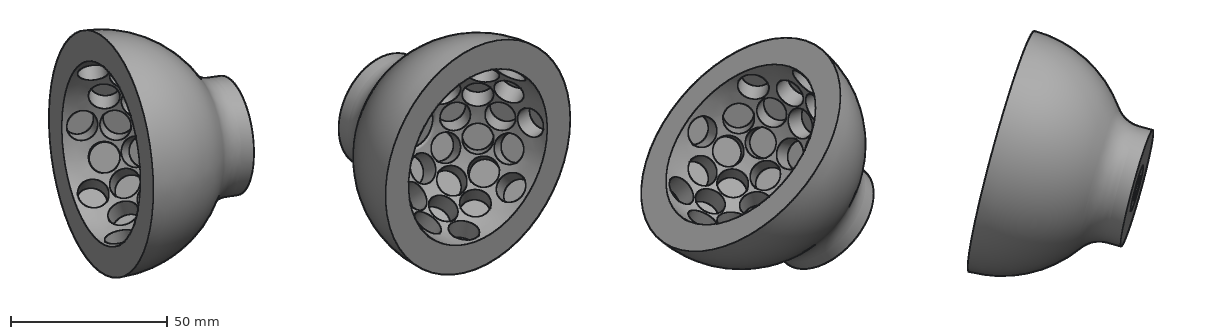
import cadquery as cq
import math

DOME_RADIUS = 40.0
WALL = 10.0
CAVITY_RADIUS = DOME_RADIUS - WALL
NECK_RADIUS = 19.4
NECK_END = DOME_RADIUS + WALL / 2
NECK_FILLET = 10.0

BUSHING_RADIUS = 7.5
BUSHING_BORE_RADIUS = 4.1
BUSHING_CLEARANCE = 0.1
BORE_RADIUS = BUSHING_RADIUS + BUSHING_CLEARANCE
BORE_FILLET = WALL / 10

POCKET_RADIUS = 5.0
POCKET_FLOOR = 36.2
POCKETS_PER_RING = 8
POCKET_STEP = 360.0 / POCKETS_PER_RING
RING_TILTS = [28.1, 44.5, 56.3, 65.0, 77.0]

NECK_FILLET_CENTRE_X = NECK_RADIUS + NECK_FILLET
NECK_FILLET_CENTRE_Y = math.sqrt((DOME_RADIUS + NECK_FILLET) ** 2 - NECK_FILLET_CENTRE_X**2)
BORE_FILLET_CENTRE_X = BORE_RADIUS + BORE_FILLET
BORE_FILLET_CENTRE_Y = math.sqrt((CAVITY_RADIUS + BORE_FILLET) ** 2 - BORE_FILLET_CENTRE_X**2)


def arc_middle(centre, radius, start, end):
    """Middle point of the shorter arc about `centre` from `start` to `end`."""
    bisector = (start - centre) + (end - centre)
    return centre + bisector.normalized() * radius


def make_dome_blank():
    """Revolved dome with its neck, cavity and bore, including both rounded edges."""
    origin = cq.Vector(0, 0)
    dome_rim = cq.Vector(DOME_RADIUS, 0)
    cavity_rim = cq.Vector(CAVITY_RADIUS, 0)

    neck_centre = cq.Vector(NECK_FILLET_CENTRE_X, NECK_FILLET_CENTRE_Y)
    dome_tangent = neck_centre.normalized() * DOME_RADIUS
    neck_tangent = cq.Vector(NECK_RADIUS, NECK_FILLET_CENTRE_Y)

    bore_centre = cq.Vector(BORE_FILLET_CENTRE_X, BORE_FILLET_CENTRE_Y)
    bore_tangent = cq.Vector(BORE_RADIUS, BORE_FILLET_CENTRE_Y)
    cavity_tangent = bore_centre.normalized() * CAVITY_RADIUS

    profile = (
        cq.Workplane("XY")
        .moveTo(DOME_RADIUS, 0)
        .threePointArc(arc_middle(origin, DOME_RADIUS, dome_rim, dome_tangent), dome_tangent)
        .threePointArc(arc_middle(neck_centre, NECK_FILLET, dome_tangent, neck_tangent), neck_tangent)
        .lineTo(NECK_RADIUS, NECK_END)
        .lineTo(BORE_RADIUS, NECK_END)
        .lineTo(BORE_RADIUS, BORE_FILLET_CENTRE_Y)
        .threePointArc(arc_middle(bore_centre, BORE_FILLET, bore_tangent, cavity_tangent), cavity_tangent)
        .threePointArc(arc_middle(origin, CAVITY_RADIUS, cavity_tangent, cavity_rim), cavity_rim)
        .close()
    )
    return profile.revolve(360, (0, 0), (0, 1))


def make_pocket_cutter(tilt_degrees, azimuth_degrees):
    """Cylinder from the centre outward, tilted from +Y and turned about Y from +Z."""
    tilt = math.radians(tilt_degrees)
    azimuth = math.radians(azimuth_degrees)
    direction = cq.Vector(
        math.sin(tilt) * math.sin(azimuth),
        math.cos(tilt),
        math.sin(tilt) * math.cos(azimuth),
    )
    return cq.Solid.makeCylinder(POCKET_RADIUS, POCKET_FLOOR, cq.Vector(0, 0, 0), direction)


def make_dome():
    """Dome with its rings of pockets cut into the cavity wall."""
    dome = make_dome_blank()
    for ring, tilt in enumerate(RING_TILTS):
        ring_turn = (ring % 2) * POCKET_STEP / 2
        for i in range(POCKETS_PER_RING):
            dome = dome.cut(cq.Workplane(make_pocket_cutter(tilt, ring_turn + i * POCKET_STEP)))
    return dome


def make_bushing():
    """Sleeve along the straight part of the bore, flush with the end of the neck."""
    return (
        cq.Workplane("XZ", origin=(0, NECK_END, 0))
        .circle(BUSHING_RADIUS)
        .circle(BUSHING_BORE_RADIUS)
        .extrude(NECK_END - BORE_FILLET_CENTRE_Y)
    )


dome = make_dome()
bushing = make_bushing()
result = cq.Compound.makeCompound([dome.solids().val(), bushing.val()])